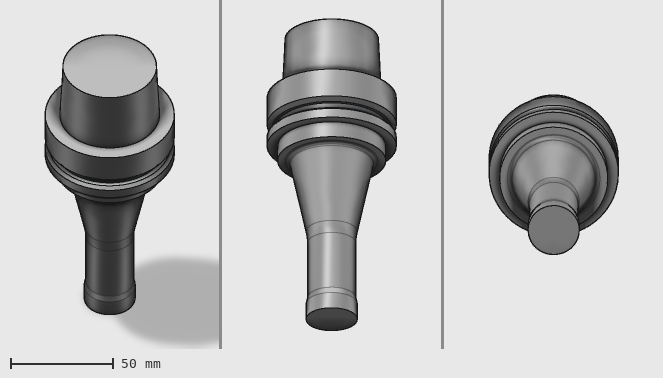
import cadquery as cq
import math

tip_top = 8.4
tip_chamfer_top = 11.5
stem_top = 41.3
collar_bottom = 86.2
flange_bottom = 94.2
groove_chamfer_bottom = 99.0
groove_bottom = 100.3
groove_top = 104.0
groove_chamfer_top = 105.8
flange_top = 120.4
total_height = 152.0

tip_diameter = 25.0
stem_diameter = 23.5
collar_diameter = 52.6
groove_diameter = 55.0
flange_diameter = 63.0
shank_base_diameter = 48.6
shank_top_diameter = 45.6

neck_half_angle = math.radians(12.0)
stem_blend_radius = 30.0
collar_fillet_radius = 2.3
groove_chamfer_slope = 1.3


def chamfered_radius(height):
    """Radius of a flange rim where its groove chamfer of this height ends."""
    return flange_diameter / 2 - groove_chamfer_slope * height


def blend_point(center, radius, angle):
    """Point of a blend arc at an angle from the radial direction."""
    return (center[0] + radius * math.cos(angle), center[1] + radius * math.sin(angle))


stem_blend_center = (stem_diameter / 2 + stem_blend_radius, stem_top)
stem_blend_middle = blend_point(stem_blend_center, stem_blend_radius, math.pi - neck_half_angle / 2)
stem_blend_end = blend_point(stem_blend_center, stem_blend_radius, math.pi - neck_half_angle)

fillet_center_z = collar_bottom - collar_fillet_radius
neck_radius = stem_blend_end[0] + (fillet_center_z - stem_blend_end[1]) * math.tan(neck_half_angle)
fillet_center = (neck_radius + collar_fillet_radius / math.cos(neck_half_angle), fillet_center_z)
fillet_start = blend_point(fillet_center, collar_fillet_radius, math.pi - neck_half_angle)
fillet_middle_angle = (math.pi - neck_half_angle + math.pi / 2) / 2
fillet_middle = blend_point(fillet_center, collar_fillet_radius, fillet_middle_angle)
fillet_end = (fillet_center[0], collar_bottom)

profile = (
    cq.Workplane("XZ")
    .moveTo(0, 0)
    .lineTo(tip_diameter / 2, 0)
    .lineTo(tip_diameter / 2, tip_top)
    .lineTo(stem_diameter / 2, tip_chamfer_top)
    .lineTo(stem_diameter / 2, stem_top)
    .threePointArc(stem_blend_middle, stem_blend_end)
    .lineTo(*fillet_start)
    .threePointArc(fillet_middle, fillet_end)
    .lineTo(collar_diameter / 2, collar_bottom)
    .lineTo(collar_diameter / 2, flange_bottom)
    .lineTo(flange_diameter / 2, flange_bottom)
    .lineTo(flange_diameter / 2, groove_chamfer_bottom)
    .lineTo(chamfered_radius(groove_bottom - groove_chamfer_bottom), groove_bottom)
    .lineTo(groove_diameter / 2, groove_bottom)
    .lineTo(groove_diameter / 2, groove_top)
    .lineTo(chamfered_radius(groove_chamfer_top - groove_top), groove_top)
    .lineTo(flange_diameter / 2, groove_chamfer_top)
    .lineTo(flange_diameter / 2, flange_top)
    .lineTo(shank_base_diameter / 2, flange_top)
    .lineTo(shank_top_diameter / 2, total_height)
    .lineTo(0, total_height)
    .close()
)

result = profile.revolve(360, (0, 0, 0), (0, 1, 0))